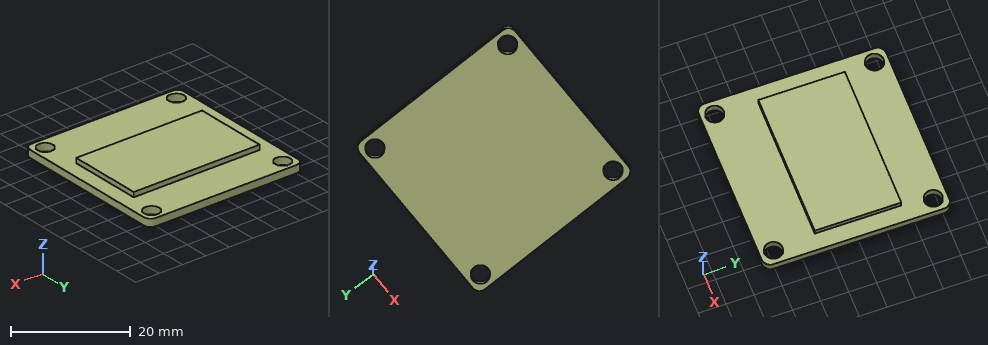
import cadquery as cq

board_width = 33.0
board_length = 33.5
board_thickness = 1.6
corner_radius = 1.5

hole_diameter = 3.2
hole_spacing_x = 28.0
hole_spacing_y = 28.5

panel_width = 26.87
panel_length = 15.45
panel_height = 1.0
panel_offset_y = 1.05


def make_board():
    """Rounded plate with a through hole near each corner."""
    plate = cq.Workplane("XY").rect(board_width, board_length).extrude(board_thickness)
    plate = plate.edges("|Z").fillet(corner_radius)
    return (
        plate.faces(">Z")
        .workplane()
        .rect(hole_spacing_x, hole_spacing_y, forConstruction=True)
        .vertices()
        .hole(hole_diameter)
    )


def make_panel():
    """Rectangular display block resting on the board."""
    return (
        cq.Workplane("XY", origin=(0, panel_offset_y, board_thickness))
        .rect(panel_width, panel_length)
        .extrude(panel_height)
    )


result = make_board().union(make_panel())